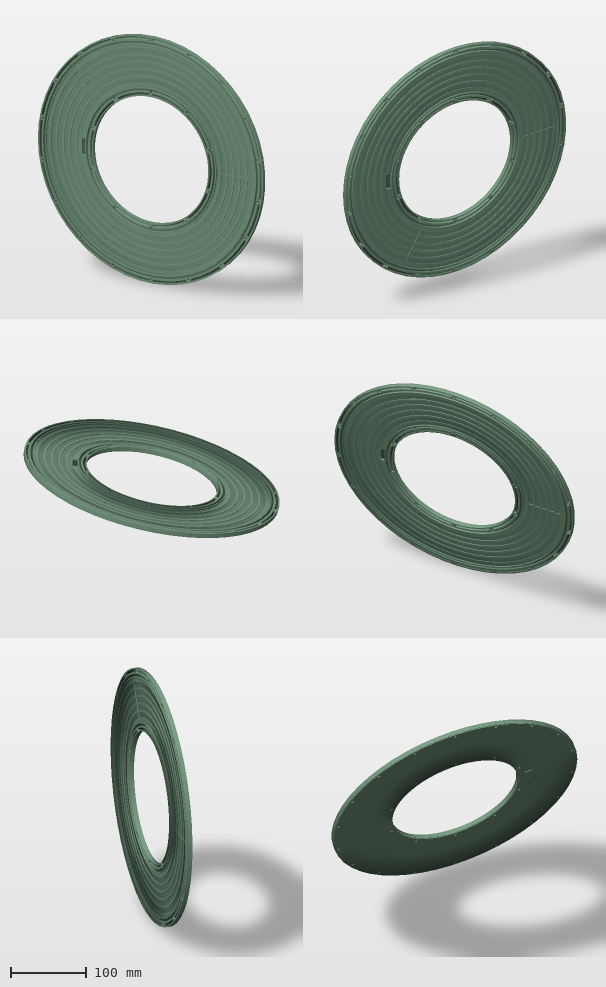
import cadquery as cq

total_thickness = 7.5
front_y = -total_thickness / 2
outer_radius = 172.0
bore_radius = 88.0
flange_thickness = 5.5

back_layer_thickness = 1.0
back_layer_setback = 0.7
plate_thickness = flange_thickness + back_layer_thickness

field_depth = 2.0
field_inner_radius = 100.0
field_outer_radius = 159.5

rib_width = 1.5
seal_width = 3.0
seal_depth = 3.5

channel_count = 5
channel_inner_radius = 106.5
channel_width = 7.0
channel_pitch = 10.0
channel_depth = 1.0
channel_corner_radius = 1.0
segment_count = 3
segment_gap = 1.0

hole_diameter = 3.5
outer_hole_count = 18
outer_hole_radius = 166.8
inner_hole_count = 10
inner_hole_radius = 94.2
pillar_width = 6.2
pocket_width = 3.0
pocket_depth = flange_thickness
pocket_draft = 1.0
outer_pocket_radius = 166.8
inner_pocket_radius = 93.0

recess_half_width = 11.0
recess_depth = flange_thickness
pad_wall = 2.5


def revolve_section(points):
    """Turn an outline of (radius, depth below the front face) points round the Y axis."""
    outline = [(-radius, front_y + depth) for radius, depth in points]
    return cq.Workplane("XY").polyline(outline).close().revolve(360, (0, 0, 0), (0, 1, 0))


def ring(inner, outer, top, bottom):
    """Plain ring between two radii and two depths below the front face."""
    return revolve_section([(inner, top), (outer, top), (outer, bottom), (inner, bottom)])


def spokes(count, first_angle, width):
    """Evenly spaced radial bars from the axis past the rim."""
    bar = cq.Workplane("XY").box(outer_radius + width, 2 * total_thickness, width, centered=(False, True, True))
    bars = cq.Workplane("XY")
    for index in range(count):
        angle = first_angle + index * 360 / count
        bars = bars.add(bar.rotate((0, 0, 0), (0, 1, 0), -angle))
    return bars.combine()


def base_plate():
    flange = ring(bore_radius, outer_radius, 0, flange_thickness)
    back_layer = ring(
        bore_radius + back_layer_setback,
        outer_radius - back_layer_setback,
        flange_thickness,
        plate_thickness,
    )
    return flange.union(back_layer)


def field():
    return ring(field_inner_radius, field_outer_radius, 0, field_depth)


def seal_grooves():
    outer_start = field_outer_radius + rib_width
    inner_end = field_inner_radius - rib_width
    outer_groove = ring(outer_start, outer_start + seal_width, 0, seal_depth)
    return outer_groove.add(ring(inner_end - seal_width, inner_end, 0, seal_depth)).combine()


def channels():
    rings = cq.Workplane("XY")
    for index in range(channel_count):
        inner = channel_inner_radius + index * channel_pitch
        rings = rings.add(ring(inner, inner + channel_width, field_depth, field_depth + channel_depth))
    segments = rings.combine().cut(spokes(segment_count, 0, segment_gap))
    return segments.edges("|Y").fillet(channel_corner_radius)


def rim_pockets(drafted_radius, straight_radius, hole_count):
    """Pockets with one drafted wall, on the side nearest the channels."""
    draft = pocket_draft if straight_radius > drafted_radius else -pocket_draft
    section = [
        (drafted_radius, 0),
        (straight_radius, 0),
        (straight_radius, pocket_depth),
        (drafted_radius + draft, pocket_depth),
    ]
    first_hole_angle = 180 / hole_count
    return revolve_section(section).cut(spokes(hole_count, first_hole_angle, pillar_width))


def screw_holes(count, radius):
    """Through holes, with the +X axis halfway between two of them."""
    return (
        cq.Workplane("XZ", origin=(0, -front_y, 0))
        .polarArray(radius, 180 / count, 360, count)
        .circle(hole_diameter / 2)
        .extrude(total_thickness)
    )


def connection_sector(wall, top, bottom):
    """Part of a ring on the -X side that spans the recess, grown by a wall on all sides."""
    sector = ring(field_inner_radius - wall, channel_inner_radius + wall, top, bottom)
    half_width = recess_half_width + wall
    window = cq.Workplane("XY").box(
        outer_radius, 2 * total_thickness, 2 * half_width, centered=(False, True, True)
    )
    return sector.intersect(window.translate((-outer_radius, 0, 0)))


result = base_plate().union(connection_sector(pad_wall, flange_thickness, total_thickness))
result = result.cut(field()).cut(seal_grooves()).cut(channels())
result = result.cut(rim_pockets(outer_pocket_radius, outer_pocket_radius + pocket_width, outer_hole_count))
result = result.cut(rim_pockets(inner_pocket_radius, inner_pocket_radius - pocket_width, inner_hole_count))
result = result.cut(screw_holes(outer_hole_count, outer_hole_radius))
result = result.cut(screw_holes(inner_hole_count, inner_hole_radius))
result = result.cut(connection_sector(0, 0, recess_depth))